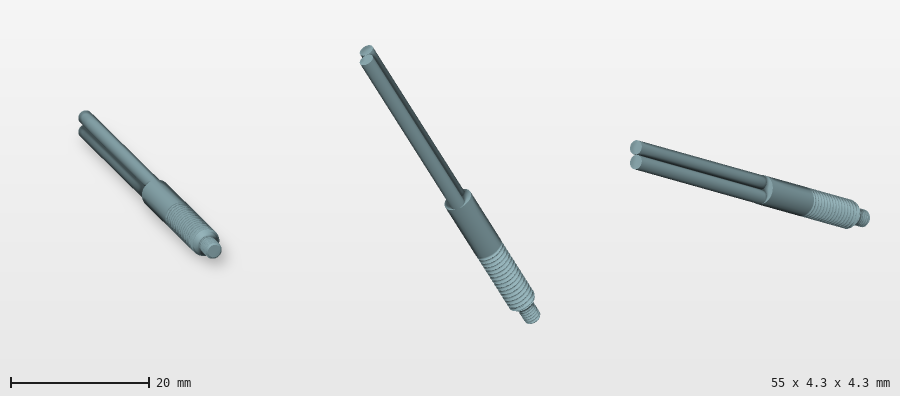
import cadquery as cq
import math

overall_length = 55.0
wire_length = 30.1
sleeve_length = 9.9
main_thread_end = 51.2
tip_chamfer = 0.35

body_diameter = 4.3
tip_diameter = 2.6
wire_gap = 0.02

main_thread_turns = 16
tip_pitch = 0.45
depth_per_pitch = 0.61
root_flat_per_pitch = 0.25
flank_angle = 30.0
flank_steps = 4

body_radius = body_diameter / 2
tip_radius = tip_diameter / 2
sleeve_end = wire_length + sleeve_length
cone_end = main_thread_end + body_radius - tip_radius
main_pitch = (main_thread_end - sleeve_end) / main_thread_turns


def rod(start, end, radius, z=0.0):
    """Cylinder along X between two stations."""
    return cq.Workplane("YZ", origin=(start, 0, z)).circle(radius).extrude(end - start)


def revolve_about_x(profile):
    """Revolve a closed (x, radius) profile around the X axis."""
    return cq.Workplane("XY").polyline(profile).close().revolve(360, (0, 0), (1, 0))


def threaded_rod(start, end, crest_radius, pitch):
    """Right-handed threaded rod along X, made by twisting its cross-section once per pitch."""
    root_radius = crest_radius - depth_per_pitch * pitch
    flank_width = (crest_radius - root_radius) * math.tan(math.radians(flank_angle))
    flank_turn = 2 * math.pi * flank_width / pitch
    root_turn = 2 * math.pi * root_flat_per_pitch

    def flank(progress):
        radius = root_radius + progress * (crest_radius - root_radius)
        angle = root_turn / 2 + progress * flank_turn
        return (-radius * math.cos(angle), radius * math.sin(angle))

    def mirrored(point):
        return (point[0], -point[1])

    rising = [flank(step / flank_steps) for step in range(flank_steps + 1)]
    falling = [mirrored(point) for point in reversed(rising)]
    section = (
        cq.Workplane("YZ", origin=(start, 0, 0))
        .moveTo(*rising[0])
        .spline(rising[1:], includeCurrent=True)
        .threePointArc((crest_radius, 0), falling[0])
        .spline(falling[1:], includeCurrent=True)
        .threePointArc((-root_radius, 0), rising[0])
        .close()
    )
    length = end - start
    return section.twistExtrude(length, 360 * length / pitch)


def wire(side):
    """Round lead wire reaching the sleeve, above (side 1) or below (side -1) the axis."""
    radius = (body_diameter - wire_gap) / 4
    return rod(0, wire_length, radius, side * (body_radius - radius))


def main_thread():
    """Threaded barrel trimmed by a conical shoulder."""
    envelope = revolve_about_x([
        (wire_length, 0),
        (wire_length, body_diameter),
        (main_thread_end - body_radius, body_diameter),
        (cone_end, tip_radius),
        (cone_end, 0),
    ])
    return threaded_rod(sleeve_end, cone_end, body_radius, main_pitch).intersect(envelope)


def tip_thread():
    """Small threaded stud with a chamfered end."""
    envelope = revolve_about_x([
        (sleeve_end, 0),
        (sleeve_end, tip_diameter),
        (overall_length - tip_chamfer - tip_radius, tip_diameter),
        (overall_length, tip_radius - tip_chamfer),
        (overall_length, 0),
    ])
    return threaded_rod(cone_end, overall_length, tip_radius, tip_pitch).intersect(envelope)


sleeve = rod(wire_length, sleeve_end, body_radius)
result = sleeve.union(main_thread()).union(tip_thread())
for side in (1, -1):
    result = result.union(wire(side))